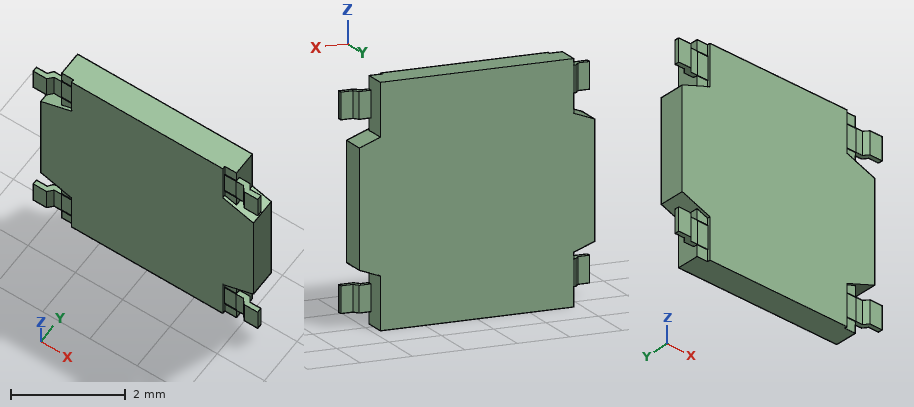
import cadquery as cq

span = 4.75
depth = 0.6
side = 4.5

lead_thickness = 0.1
lead_width = 0.505
lead_center_z = 1.755
foot_drop = lead_thickness / 2
foot_bend_front = 2.09
foot_bend_back = 2.145
shank_bend_front = 2.0
shank_bend_back = 2.07

half_side = side / 2
housing_depth = depth - foot_drop
corner_x = 1.85
slope_outer_z = 1.105
slope_inner_z = 1.35
recess_x = 1.6
recess_depth = 0.06

slope_ratio = (slope_inner_z - slope_outer_z) / (half_side - recess_x)
corner_z = slope_outer_z + slope_ratio * (half_side - corner_x)

corners = [(x_sign, z_sign) for x_sign in (-1, 1) for z_sign in (-1, 1)]

foot_front = -foot_drop
foot_back = foot_front + lead_thickness
shank_front = foot_back
shank_back = shank_front + lead_thickness


def cross_slab(neck_x, neck_z, front_y, back_y):
    """Slab of the housing whose upper and lower necks reach neck_x and meet the slopes at neck_z."""
    right_half = [
        (neck_x, half_side),
        (neck_x, neck_z),
        (half_side, slope_outer_z),
        (half_side, -slope_outer_z),
        (neck_x, -neck_z),
        (neck_x, -half_side),
    ]
    left_half = [(-x, z) for x, z in reversed(right_half)]
    return (
        cq.Workplane("XZ", origin=(0, front_y, 0))
        .polyline(right_half + left_half)
        .close()
        .extrude(front_y - back_y)
    )


def make_lead(x_sign, z_sign):
    """Gull-wing lead: flat foot, slope, and a shank that butts against the housing side wall."""
    profile = [
        (span / 2, foot_front),
        (span / 2, foot_back),
        (foot_bend_back, foot_back),
        (shank_bend_back, shank_back),
        (corner_x, shank_back),
        (corner_x, shank_front),
        (shank_bend_front, shank_front),
        (foot_bend_front, foot_front),
    ]
    return (
        cq.Workplane("XY", origin=(0, 0, z_sign * lead_center_z))
        .polyline([(x_sign * x, y) for x, y in profile])
        .close()
        .extrude(lead_width / 2, both=True)
    )


def make_pad(x_sign, z_sign):
    """Raised pad on a recess floor, level with the front of the lead shank beside it."""
    return cq.Workplane("XY").box(corner_x - recess_x, recess_depth - shank_front, lead_width).translate(
        (
            x_sign * (corner_x + recess_x) / 2,
            (recess_depth + shank_front) / 2,
            z_sign * lead_center_z,
        )
    )


def make_housing():
    """Housing whose narrower front slab leaves a shallow recess, with a raised pad, at each corner."""
    back_slab = cross_slab(corner_x, corner_z, recess_depth, housing_depth)
    front_slab = cross_slab(recess_x, slope_inner_z, 0, recess_depth)
    body = back_slab.union(front_slab)
    for x_sign, z_sign in corners:
        body = body.union(make_pad(x_sign, z_sign))
    return body


housing = make_housing()
leads = [make_lead(x_sign, z_sign) for x_sign, z_sign in corners]

result = cq.Compound.makeCompound(
    [housing.solids().val(), *[lead.solids().val() for lead in leads]]
)